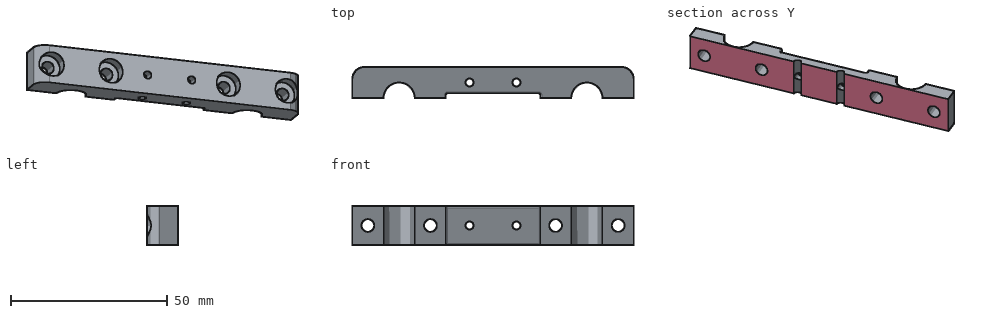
import cadquery as cq

length = 90.0
depth = 10.0
height = 12.5
corner_radius = 4.0

groove_diameter = 9.9
groove_offset = 30.0

screw_diameter = 4.0
screw_spacing = 20.0
counterbore_diameter = 8.0
counterbore_depth = 4.0

recess_width = 30.1
recess_depth = 1.55
recess_corner_radius = 0.5
recess_rim_radius = 0.5

rim_zone_margin = 0.1

pin_diameter = 2.5
pin_offset = 7.5
vertical_pin_y = 5.0

middle_z = height / 2


def make_bar():
    """Plain bar with its two vertical back edges rounded."""
    bar = cq.Workplane("XY").box(length, depth, height, centered=(True, False, False))
    return bar.edges("|Z and >Y").fillet(corner_radius)


def vertical_cylinder(x, y, diameter):
    """Cylinder along Z through the full height of the bar."""
    return cq.Workplane("XY").center(x, y).circle(diameter / 2).extrude(height)


def cross_cylinder(x, diameter, y_start, y_end):
    """Cylinder along Y at mid height, from y_start to y_end."""
    start_plane = cq.Workplane("XZ", origin=(x, y_start, middle_z))
    return start_plane.circle(diameter / 2).extrude(y_start - y_end)


def cut_recess(bar):
    """Cut the recess through the full height and round its top and bottom rims."""
    cutter = (
        cq.Workplane("XY", origin=(0, recess_depth - depth / 2, 0))
        .box(recess_width, depth, height, centered=(True, True, False))
        .edges("|Z and >Y")
        .fillet(recess_corner_radius)
    )
    recessed = bar.cut(cutter)
    rim_zone = cq.selectors.BoxSelector(
        (-recess_width, rim_zone_margin, -height),
        (recess_width, recess_depth + rim_zone_margin, 2 * height),
    )
    rims = recessed.faces("<Z or >Z").edges(rim_zone)
    return rims.fillet(recess_rim_radius)


def cut_clamp(bar, groove_x):
    """Cut one groove and the counterbored screw hole on each side of it."""
    clamped = bar.cut(vertical_cylinder(groove_x, 0, groove_diameter))
    counterbore_floor = depth - counterbore_depth
    for screw_x in (groove_x - screw_spacing / 2, groove_x + screw_spacing / 2):
        clamped = clamped.cut(cross_cylinder(screw_x, screw_diameter, 0, depth))
        clamped = clamped.cut(cross_cylinder(screw_x, counterbore_diameter, counterbore_floor, depth))
    return clamped


def cut_pin_holes(bar, pin_x):
    """Cut the small hole along Y and the small hole along Z, which cross at pin_x."""
    drilled = bar.cut(cross_cylinder(pin_x, pin_diameter, 0, depth))
    return drilled.cut(vertical_cylinder(pin_x, vertical_pin_y, pin_diameter))


result = cut_recess(make_bar())
for side in (-1, 1):
    result = cut_clamp(result, side * groove_offset)
    result = cut_pin_holes(result, side * pin_offset)